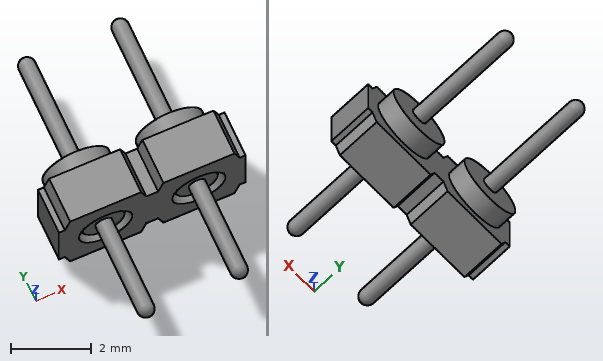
import cadquery as cq

overall_length = 7.62
pin_count = 2
pitch = overall_length / 3

housing_width = pin_count * pitch
housing_height = pitch
housing_depth = pitch / 2
notch_depth = 0.41
notch_floor_half_width = 0.16
notch_mouth_half_width = 0.305

mouth_diameter = 1.45
seat_diameter = 1.32

wire_diameter = 0.46
front_wire_length = 2.645
shoulder_diameter = 1.13
shoulder_recess = 0.12
shoulder_length = 0.12
collar_diameter = 1.83
collar_thickness = 0.53

pin_positions = [(i - (pin_count - 1) / 2) * pitch for i in range(pin_count)]


def make_notch(x, side):
    """Tapered notch centred at x in the top (side = 1) or bottom (side = -1) face."""
    edge_z = side * housing_height / 2
    floor_z = edge_z - side * notch_depth
    outline = [
        (x - notch_mouth_half_width, edge_z),
        (x - notch_floor_half_width, floor_z),
        (x + notch_floor_half_width, floor_z),
        (x + notch_mouth_half_width, edge_z),
    ]
    return cq.Workplane("XZ").polyline(outline).close().extrude(-housing_depth)


def make_hole(x):
    """Tapered hole, tight around the pin at the back face."""
    outline = [
        (0, 0),
        (mouth_diameter / 2, 0),
        (seat_diameter / 2, housing_depth),
        (0, housing_depth),
    ]
    hole = cq.Workplane("XY").polyline(outline).close().revolve(360, (0, 0), (0, 1))
    return hole.translate((x, 0, 0))


def make_housing():
    housing = cq.Workplane("XY").box(housing_width, housing_depth, housing_height)
    housing = housing.translate((0, housing_depth / 2, 0))
    for i in range(pin_count + 1):
        boundary_x = -housing_width / 2 + i * pitch
        for side in (1, -1):
            housing = housing.cut(make_notch(boundary_x, side))
    for x in pin_positions:
        housing = housing.cut(make_hole(x))
    return housing


def make_pin(x):
    """Round-ended wire with a tapered front shoulder, a straight body and a back collar."""
    wire_radius = wire_diameter / 2
    front_tip = -front_wire_length
    back_tip = front_tip + overall_length
    collar_back = housing_depth + collar_thickness
    arc_offset = wire_radius / 2 ** 0.5
    front_centre = front_tip + wire_radius
    back_centre = back_tip - wire_radius
    profile = (
        cq.Workplane("XY")
        .moveTo(0, front_tip)
        .threePointArc((arc_offset, front_centre - arc_offset), (wire_radius, front_centre))
        .lineTo(wire_radius, shoulder_recess)
        .lineTo(shoulder_diameter / 2, shoulder_recess)
        .lineTo(seat_diameter / 2, shoulder_recess + shoulder_length)
        .lineTo(seat_diameter / 2, housing_depth)
        .lineTo(collar_diameter / 2, housing_depth)
        .lineTo(collar_diameter / 2, collar_back)
        .lineTo(wire_radius, collar_back)
        .lineTo(wire_radius, back_centre)
        .threePointArc((arc_offset, back_centre + arc_offset), (0, back_tip))
        .close()
    )
    return profile.revolve(360, (0, 0), (0, 1)).translate((x, 0, 0))


housing = make_housing()
pins = [make_pin(x) for x in pin_positions]

result = cq.Compound.makeCompound([housing.val(), *[pin.val() for pin in pins]])